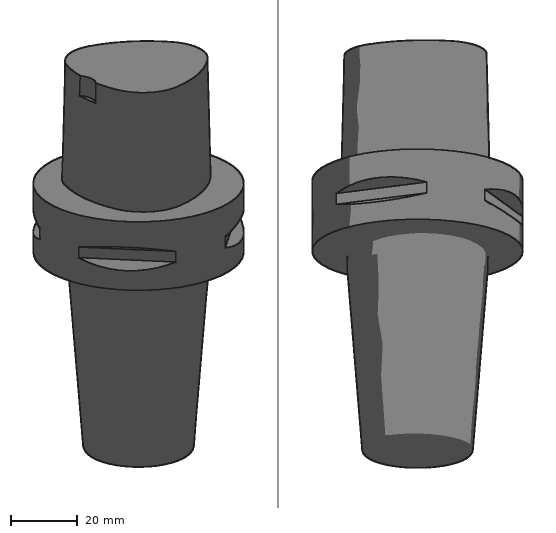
import cadquery as cq
import math

shank_height = 38.0
flange_height = 22.0
body_length = 63.0

lobe_reach = 23.6
side_reach = 20.3
lobe_radius = 14.3
shank_taper = math.degrees(math.atan(1 / 40))
lobe_count = 3
first_lobe_angle = 90.0

notch_radius = 6.5
notch_floor = 17.95
notch_depth = 6.4

flange_diameter = 63.0
groove_count = 4
first_groove_angle = 45.0
groove_center_drop = 12.0
groove_floor = 27.9
groove_floor_width = 3.4
groove_flank_angle = 30.0

neck_diameter = 42.0
neck_fillet = 2.0
neck_length = 6.3
body_half_angle = 4.5
nose_fillet = 1.0

flange_bottom = -flange_height
body_bottom = flange_bottom - body_length
flange_radius = flange_diameter / 2
neck_radius = neck_diameter / 2


def polar(radius, angle, center=(0.0, 0.0)):
    """Point at a distance and an angle in degrees from a center."""
    a = math.radians(angle)
    return center[0] + radius * math.cos(a), center[1] + radius * math.sin(a)


def make_shank():
    """Six-arc polygon drawn at the seat face and tapered inward going up."""
    lobe_offset = lobe_reach - lobe_radius
    half_pitch = 180.0 / lobe_count
    lobe_across = lobe_offset * math.sin(math.radians(half_pitch))
    lobe_along = lobe_offset * math.cos(math.radians(half_pitch))
    reach_gap = side_reach - lobe_radius
    side_offset = (lobe_offset**2 - reach_gap**2) / (2 * (reach_gap - lobe_along))
    joint_angle = math.degrees(math.atan2(lobe_across, lobe_along + side_offset))

    def joint(lobe_angle, side):
        lobe_center = polar(lobe_offset, lobe_angle)
        return polar(lobe_radius, lobe_angle + side * (half_pitch - joint_angle), lobe_center)

    outline = cq.Workplane("XY").moveTo(*joint(first_lobe_angle, -1))
    for i in range(lobe_count):
        lobe_angle = first_lobe_angle + i * 2 * half_pitch
        next_lobe_angle = lobe_angle + 2 * half_pitch
        outline = outline.threePointArc(polar(lobe_reach, lobe_angle), joint(lobe_angle, 1))
        side_middle = polar(side_reach, lobe_angle + half_pitch)
        outline = outline.threePointArc(side_middle, joint(next_lobe_angle, -1))
    return outline.close().extrude(shank_height, taper=shank_taper)


def make_notch():
    """Round-backed cutter that opens through the shank top and the -Y side."""
    return (
        cq.Workplane("XY", origin=(0, -notch_floor - notch_radius, shank_height - notch_depth))
        .circle(notch_radius)
        .extrude(notch_depth)
    )


def make_flange():
    return cq.Workplane("XY").circle(flange_radius).extrude(-flange_height)


def make_groove(angle):
    """Straight trapezoidal cutter across the flange rim at the given angle."""
    half_floor = groove_floor_width / 2
    half_mouth = half_floor + (flange_radius - groove_floor) * math.tan(math.radians(groove_flank_angle))
    profile = [
        (groove_floor, -half_floor),
        (flange_radius, -half_mouth),
        (flange_radius, half_mouth),
        (groove_floor, half_floor),
    ]
    return (
        cq.Workplane("XZ", origin=(0, 0, -groove_center_drop))
        .polyline(profile)
        .close()
        .extrude(flange_radius, both=True)
        .rotate((0, 0, 0), (0, 0, 1), angle)
    )


def make_body():
    """Revolved neck fillet, cylindrical band, long cone and rounded nose."""
    cone_top = flange_bottom - neck_length
    cone_height = cone_top - body_bottom
    nose_radius = neck_radius - cone_height * math.tan(math.radians(body_half_angle))
    fillet_center = (neck_radius + neck_fillet, flange_bottom - neck_fillet)
    body = (
        cq.Workplane("XZ")
        .moveTo(0, flange_bottom)
        .lineTo(neck_radius + neck_fillet, flange_bottom)
        .threePointArc(polar(neck_fillet, 135, fillet_center), (neck_radius, flange_bottom - neck_fillet))
        .lineTo(neck_radius, cone_top)
        .lineTo(nose_radius, body_bottom)
        .lineTo(0, body_bottom)
        .close()
        .revolve(360, (0, 0, 0), (0, 1, 0))
    )
    return body.faces("<Z").edges().fillet(nose_fillet)


shank = make_shank().cut(make_notch())
flange = make_flange()
for index in range(groove_count):
    flange = flange.cut(make_groove(first_groove_angle + index * 360.0 / groove_count))
result = flange.union(shank).union(make_body())